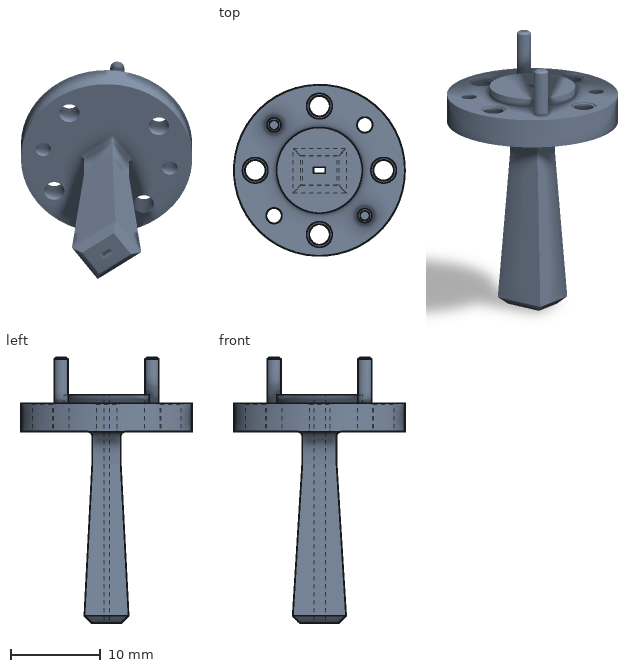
import cadquery as cq
import math

guide_x = 1.295
guide_y = 0.648
tube_wall = 1.27
neck_x = guide_x + 2 * tube_wall
neck_y = guide_y + 2 * tube_wall

flange_diameter = 19.05
flange_thickness = 3.175
boss_diameter = flange_diameter / 2
boss_height = 0.95

bolt_circle_radius = 14.275 / 2
screw_hole_diameter = 2.26
screw_recess_diameter = 2.84
screw_recess_depth = 0.1
dowel_hole_diameter = 1.70
pin_diameter = 1.562
pin_height = 5.08
pin_chamfer_height = 0.19
pin_chamfer_inset = 0.25

overall_height = 29.54
neck_length = 3.54
neck_fillet = 0.508
rim_x = 5.95
rim_y = 4.94
mouth_bevel = 0.82

flange_bottom_z = -flange_thickness
flare_top_z = flange_bottom_z - neck_length
mouth_z = pin_height - overall_height
rim_z = mouth_z + mouth_bevel

screw_angles = (0, 90, 180, 270)
dowel_hole_angles = (45, 225)
pin_angles = (135, 315)


def circle_positions(angles):
    """Points on the bolt circle at the given angles in degrees."""
    return [
        (
            bolt_circle_radius * math.cos(math.radians(angle)),
            bolt_circle_radius * math.sin(math.radians(angle)),
        )
        for angle in angles
    ]


def bolt_circle_cylinders(angles, diameter, bottom_z, top_z):
    """Upright cylinders placed around the bolt circle."""
    return (
        cq.Workplane("XY", origin=(0, 0, bottom_z))
        .pushPoints(circle_positions(angles))
        .circle(diameter / 2)
        .extrude(top_z - bottom_z)
    )


def rectangular_frustum(bottom_z, bottom_size, top_z, top_size):
    """Centred solid blending one rectangle into another above it."""
    return (
        cq.Workplane("XY", origin=(0, 0, bottom_z))
        .rect(*bottom_size)
        .workplane(offset=top_z - bottom_z)
        .rect(*top_size)
        .loft(ruled=True)
    )


def make_flange():
    """Round mounting disc."""
    return (
        cq.Workplane("XY", origin=(0, 0, flange_bottom_z))
        .circle(flange_diameter / 2)
        .extrude(flange_thickness)
    )


def make_neck():
    """Straight rectangular tube section under the flange."""
    return (
        cq.Workplane("XY", origin=(0, 0, flare_top_z))
        .rect(neck_x, neck_y)
        .extrude(neck_length)
    )


def fillet_section(plane_name):
    """Concave fillet section at the neck corner nearest +X, +Y, just below the flange."""
    arc_mid = neck_fillet * (1 - math.sqrt(0.5))
    return (
        cq.Workplane(plane_name, origin=(neck_x / 2, neck_y / 2, flange_bottom_z))
        .moveTo(0, 0)
        .lineTo(neck_fillet, 0)
        .threePointArc((arc_mid, -arc_mid), (0, -neck_fillet))
        .close()
    )


def make_neck_root_fillet():
    """Fillet between neck and flange, turned about each vertical neck edge at the corners."""
    x_side = fillet_section("XZ").extrude(neck_y / 2)
    y_side = fillet_section("YZ").extrude(-neck_x / 2)
    corner = fillet_section("XZ").revolve(90, (0, 0), (0, 1))
    quadrant = x_side.union(y_side).union(corner)
    half = quadrant.union(quadrant.mirror("YZ"))
    return half.union(half.mirror("XZ"))


def make_boss():
    """Raised round contact face on top of the flange."""
    return cq.Workplane("XY").circle(boss_diameter / 2).extrude(boss_height)


def make_horn():
    """Flared body ending in a bevelled mouth."""
    rim_size = (rim_x, rim_y)
    mouth_size = (rim_x - 2 * mouth_bevel, rim_y - 2 * mouth_bevel)
    flare = rectangular_frustum(rim_z, rim_size, flare_top_z, (neck_x, neck_y))
    bevel = rectangular_frustum(mouth_z, mouth_size, rim_z, rim_size)
    return flare.union(bevel)


def make_pins():
    """Dowel pins standing on the flange, with chamfered tips."""
    pins = bolt_circle_cylinders(pin_angles, pin_diameter, 0, pin_height)
    return pins.faces(">Z").edges().chamfer(pin_chamfer_height, pin_chamfer_inset)


def make_screw_holes():
    """Through holes with a shallow flat recess at the flange top."""
    holes = bolt_circle_cylinders(screw_angles, screw_hole_diameter, flange_bottom_z, 0)
    recesses = bolt_circle_cylinders(screw_angles, screw_recess_diameter, -screw_recess_depth, 0)
    return holes.union(recesses)


def make_dowel_holes():
    """Plain through holes that receive the pins of a mating flange."""
    return bolt_circle_cylinders(dowel_hole_angles, dowel_hole_diameter, flange_bottom_z, 0)


def make_waveguide():
    """Rectangular channel running the full length of the axis."""
    return (
        cq.Workplane("XY", origin=(0, 0, mouth_z))
        .rect(guide_x, guide_y)
        .extrude(boss_height - mouth_z)
    )


body = make_flange().union(make_boss()).union(make_pins())
body = body.union(make_neck()).union(make_neck_root_fillet()).union(make_horn())
result = body.cut(make_screw_holes()).cut(make_dowel_holes()).cut(make_waveguide())